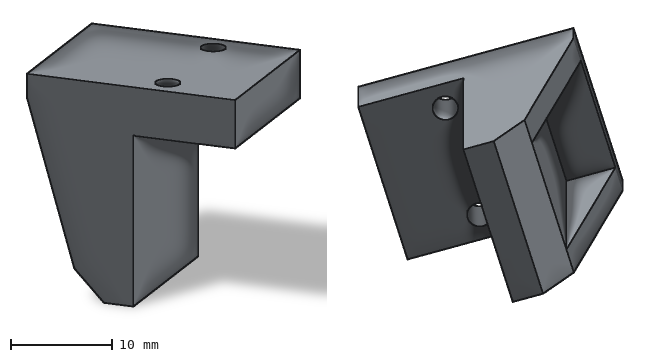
import cadquery as cq

length = 22.22
width = 17.15
height = 22.85

plate_thickness = 5.05
lip_height = 2.5
leg_back_x = 11.35
taper_end_x = 5.05
foot_start_x = 8.23
foot_chamfer_height = 3.2

rib_thickness = 2.58
recess_width = width - 2 * rib_thickness
recess_height = height - lip_height - foot_chamfer_height

hole_diameter = 2.51
hole_x = 14.0
hole_spacing = 11.98


def make_bracket():
    """Plate and tapered leg, extruded symmetrically about the XZ plane."""
    return (
        cq.Workplane("XZ")
        .moveTo(0, height)
        .lineTo(length, height)
        .lineTo(length, height - plate_thickness)
        .lineTo(leg_back_x, height - plate_thickness)
        .lineTo(leg_back_x, 0)
        .lineTo(foot_start_x, 0)
        .lineTo(taper_end_x, foot_chamfer_height)
        .lineTo(0, height - lip_height)
        .close()
        .extrude(width / 2, both=True)
    )


def make_recess():
    """Box that leaves a vertical wall between the ribs, below the lip."""
    return cq.Workplane("XY").box(
        taper_end_x, recess_width, recess_height, centered=(False, True, False)
    ).translate((0, 0, foot_chamfer_height))


def make_holes():
    """Pair of vertical hole cutters, spaced evenly about the XZ plane."""
    return (
        cq.Workplane("XY")
        .pushPoints([(hole_x, side * hole_spacing / 2) for side in (-1, 1)])
        .circle(hole_diameter / 2)
        .extrude(height)
    )


result = make_bracket().cut(make_recess()).cut(make_holes())